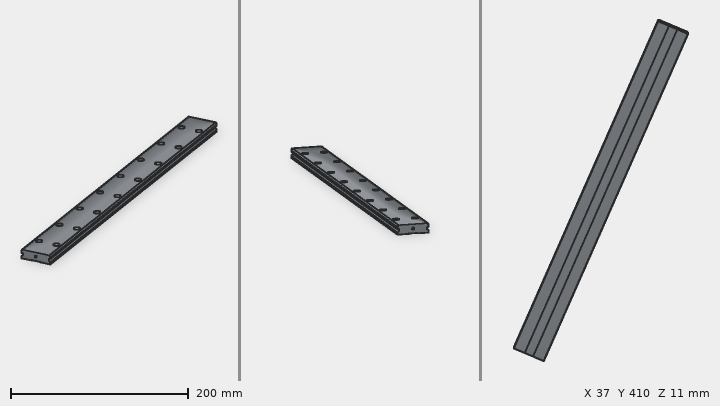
import cadquery as cq

length = 410.0
width = 37.0
height = 11.0

bevel_width = 1.2
bevel_break_inset = bevel_width / 2
bevel_break_drop = 1.02
bevel_drop = 2.5

groove_depth = 2.0
groove_bottom = 2.5
groove_floor_bottom = 4.5
groove_floor_top = 6.0
groove_top = 7.5

relief_width = 10.2
relief_depth = 0.5

recess_diameter = 7.5
recess_depth = 0.2
recess_pitch = 50.0
recesses_per_row = 8
row_spacing = 22.0

end_hole_diameter = 2.5
end_hole_depth = 4.0
end_hole_height = 5.7


def rail_body():
    """Extrude the symmetric cross-section along the length of the rail."""
    side = width / 2
    groove_floor = side - groove_depth
    right_half = [
        (relief_width / 2, relief_depth),
        (relief_width / 2, 0),
        (side, 0),
        (side, groove_bottom),
        (groove_floor, groove_floor_bottom),
        (groove_floor, groove_floor_top),
        (side, groove_top),
        (side, height - bevel_drop),
        (side - bevel_break_inset, height - bevel_break_drop),
        (side - bevel_width, height),
    ]
    left_half = [(-x, z) for x, z in reversed(right_half)]
    profile = cq.Workplane("XZ").polyline(right_half + left_half).close()
    return profile.extrude(length / 2, both=True)


def mounting_recesses():
    """Discs that sink the recesses into the top face."""
    return (
        cq.Workplane("XY", origin=(0, 0, height))
        .rarray(row_spacing, recess_pitch, 2, recesses_per_row)
        .circle(recess_diameter / 2)
        .extrude(-recess_depth)
    )


def end_hole():
    """Cylinder running inward from the front (-Y) end face."""
    return (
        cq.Workplane("XZ", origin=(0, -length / 2, end_hole_height))
        .circle(end_hole_diameter / 2)
        .extrude(-end_hole_depth)
    )


result = rail_body().cut(mounting_recesses()).cut(end_hole())